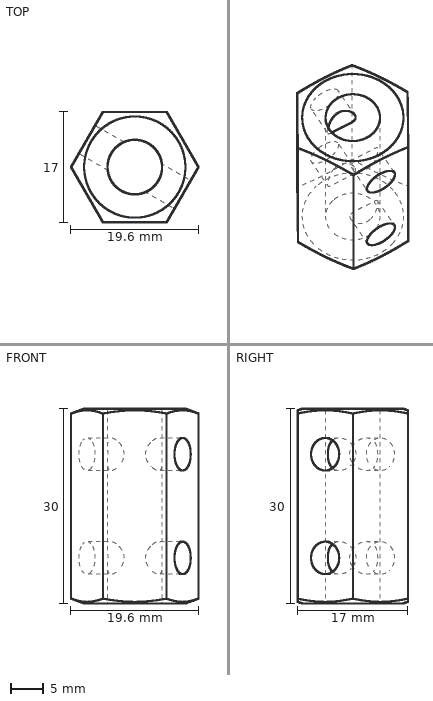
import cadquery as cq
import math

length = 30.0
across_flats = 17.0
across_corners = across_flats / math.cos(math.radians(30))
bore_diameter = 8.37

end_face_diameter = 15.6
corner_chamfer_height = 0.75

screw_hole_diameter = 5.0
screw_hole_from_end = 7.02
screw_axis_angle = -30


def hexagonal_body():
    """Hexagonal prism with corners on the X axis and conically trimmed ends."""
    prism = cq.Workplane("XY").polygon(6, across_corners).extrude(length / 2, both=True)
    end_radius = end_face_diameter / 2
    corner_radius = across_corners / 2
    half_length = length / 2
    shoulder = half_length - corner_chamfer_height
    envelope = (
        cq.Workplane("XZ")
        .moveTo(0, -half_length)
        .lineTo(end_radius, -half_length)
        .lineTo(corner_radius, -shoulder)
        .lineTo(corner_radius, shoulder)
        .lineTo(end_radius, half_length)
        .lineTo(0, half_length)
        .close()
        .revolve(360, (0, 0, 0), (0, 1, 0))
    )
    return prism.intersect(envelope)


def bore():
    return cq.Workplane("XY").circle(bore_diameter / 2).extrude(length / 2, both=True)


def screw_hole(height):
    """Cross drilling at the given height, long enough to pass through both flats."""
    return (
        cq.Workplane("YZ")
        .center(0, height)
        .circle(screw_hole_diameter / 2)
        .extrude(across_corners / 2, both=True)
        .rotate((0, 0, 0), (0, 0, 1), screw_axis_angle)
    )


result = hexagonal_body().cut(bore())
for end in (-1, 1):
    result = result.cut(screw_hole(end * (length / 2 - screw_hole_from_end)))